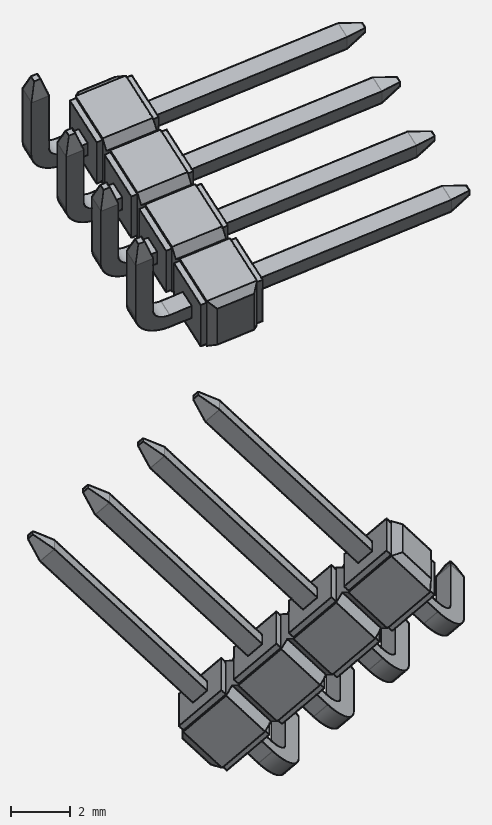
import cadquery as cq

pin_count = 4
pitch = 2.54
row_length = pin_count * pitch

housing_height = 2.5
housing_depth = 1.88
notch_half_width = 0.28
notch_depth = 0.36
end_taper_length = 0.28
end_taper_inset = 0.25

pad_width = 1.96
pad_height = 2.3
pad_thickness = 0.22

pin_width = 0.66
bend_inner_radius = 0.62
bend_centre_radius = bend_inner_radius + pin_width / 2
tip_length = 0.8
tip_width = 0.24
overall_depth = 12.62
overall_height = 5.92
elbow_to_pad = 2.11

pin_axis_z = housing_height / 2
front_pad_y = -pin_width / 2 + elbow_to_pad
housing_front_y = front_pad_y + pad_thickness
housing_centre_y = housing_front_y + housing_depth / 2
padded_depth = housing_depth + 2 * pad_thickness
tail_end_y = overall_depth - pin_width / 2
pin_positions = [(i - (pin_count - 1) / 2) * pitch for i in range(pin_count)]
notch_positions = [x + pitch / 2 for x in pin_positions[:-1]]


def make_tapered_end(side):
    """Frustum closing one end of the housing; side is -1 or +1 along X."""
    start_x = side * (row_length / 2 - end_taper_length)
    base_plane = cq.Plane(
        origin=(start_x, housing_centre_y, pin_axis_z), xDir=(0, 1, 0), normal=(side, 0, 0)
    )
    return (
        cq.Workplane(base_plane)
        .rect(housing_depth, housing_height)
        .workplane(offset=end_taper_length)
        .rect(housing_depth - 2 * end_taper_inset, housing_height - 2 * end_taper_inset)
        .loft(ruled=True)
    )


def make_notch(x, edge_z, inward):
    """V-shaped cutter running along Y; inward is the Z direction of its point."""
    return (
        cq.Workplane("XZ", origin=(x, housing_front_y, edge_z))
        .polyline([
            (-notch_half_width, 0),
            (notch_half_width, 0),
            (0, inward * notch_depth),
        ])
        .close()
        .extrude(-housing_depth)
    )


def make_housing():
    """Bar with tapered ends, V notches between cells and pads on each cell."""
    bar_length = row_length - 2 * end_taper_length
    housing = cq.Workplane("XY").box(bar_length, housing_depth, housing_height)
    housing = housing.translate((0, housing_centre_y, pin_axis_z))
    for side in (-1, 1):
        housing = housing.union(make_tapered_end(side))
    for x in notch_positions:
        housing = housing.cut(make_notch(x, housing_height, -1))
        housing = housing.cut(make_notch(x, 0, 1))
    for x in pin_positions:
        pad = cq.Workplane("XY").box(pad_width, padded_depth, pad_height)
        housing = housing.union(pad.translate((x, housing_centre_y, pin_axis_z)))
    return housing


def make_tip(base_plane):
    """Square pyramid frustum pointing along the normal of base_plane."""
    return (
        cq.Workplane(base_plane)
        .rect(pin_width, pin_width)
        .workplane(offset=tip_length)
        .rect(tip_width, tip_width)
        .loft(ruled=True)
    )


def make_pin(x):
    """Square pin with a horizontal tail along +Y and an upright leg along +Z."""
    tail_shoulder_y = tail_end_y - tip_length
    leg_shoulder_z = overall_height - tip_length
    path = (
        cq.Workplane("YZ", origin=(x, 0, 0))
        .moveTo(tail_shoulder_y, pin_axis_z)
        .lineTo(bend_centre_radius, pin_axis_z)
        .radiusArc((0, pin_axis_z + bend_centre_radius), bend_centre_radius)
        .lineTo(0, leg_shoulder_z)
    )
    tail_plane = cq.Plane(origin=(x, tail_shoulder_y, pin_axis_z), xDir=(1, 0, 0), normal=(0, 1, 0))
    leg_plane = cq.Plane(origin=(x, 0, leg_shoulder_z), xDir=(1, 0, 0), normal=(0, 0, 1))
    shank = cq.Workplane(tail_plane).rect(pin_width, pin_width).sweep(path)
    return shank.union(make_tip(tail_plane)).union(make_tip(leg_plane))


result = make_housing()
for pin_x in pin_positions:
    result = result.union(make_pin(pin_x))